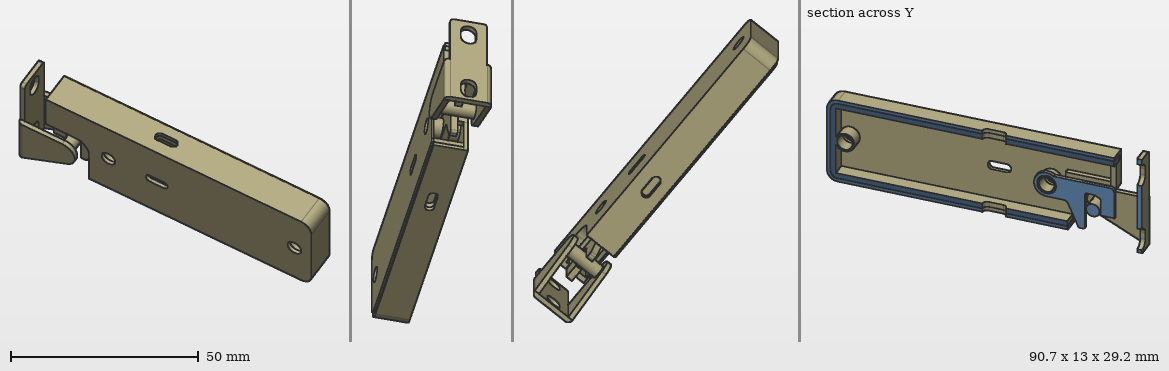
import cadquery as cq
import math


sheet = 1.45
bracket_width = 13.0
bracket_height = 29.2
bracket_inner_width = bracket_width - 2 * sheet
plate_corner_radius = 1.0
arm_reach = 17.9
arm_top = 14.2
arm_end_radius = 4.0
arm_end_x = arm_reach - arm_end_radius
arm_end_z = arm_top - arm_end_radius
mount_slot_width = 4.3
mount_slot_height = 6.35
mount_slot_heights = (4.3, 24.2)
pin_radius = 2.0

latch_length = 90.7
housing_left = 8.0
housing_width = 10.0
housing_height = 25.4
housing_bottom = 2.5
wall = 1.2
housing_corner_radius = 3.3
housing_front = -housing_width / 2
housing_back = housing_width / 2
housing_top = housing_bottom + housing_height
mid_height = housing_bottom + housing_height / 2
hook_opening_width = 2.4
half_opening = hook_opening_width / 2

notch_right = 21.4
notch_top = 17.3
notch_radius = 4.3

cover_thickness = 0.5
rim = 1.5
rim_setback = 0.1
cover_front = housing_back - cover_thickness
cavity_front = housing_front + wall
cavity_top = housing_top - wall
cavity_bottom = housing_bottom + wall
cavity_right = latch_length - wall
cavity_corner_radius = housing_corner_radius - wall
sleeve_radius = 2.8
mount_hole_diameter = 4.3
pivot_x = 27.5
mount_hole_places = (pivot_x, 85.4)
oblong_x = 42.5
oblong_length = 6.7
oblong_width = 2.5

hook_thickness = 1.9
hook_top = 18.3
nose_bottom = 9.1
nose_radius = 1.4
mouth_left = 12.0
mouth_right = 16.4
mouth_top = 15.1
mouth_arc_radius = 4.0
mouth_arc_x = 14.7
mouth_corner_radius = 0.6
finger_bottom = 3.8
finger_tip_right = 18.3
finger_tip_radius = 0.6
finger_slope = 0.44
lever_bottom = 11.5
lever_fillet = 1.4
hub_radius = 3.7
pin_x = (mouth_left + mouth_right) / 2


def block(x_range, y_range, z_range):
    """Box given by its lower and upper limits along each axis."""
    corner = (x_range[0], y_range[0], z_range[0])
    size = [high - low for low, high in (x_range, y_range, z_range)]
    return cq.Workplane("XY").box(*size, centered=False).translate(corner)


def side_sketch(y):
    """Work plane at a given Y with local axes X and Z; extrusions run toward -Y."""
    return cq.Workplane("XZ", origin=(0, y, 0))


def rod(x, z, radius, y_range):
    """Cylinder along Y."""
    return side_sketch(y_range[1]).center(x, z).circle(radius).extrude(y_range[1] - y_range[0])


def entry_notch():
    """Cutter for the corner where the bracket enters, through the full width."""
    notch = block((0, notch_right), (-housing_width, housing_width), (0, notch_top))
    return notch.edges("|Y and >X and >Z").fillet(notch_radius)


def mounting_cuts():
    """Cutter for the round holes and the two crossing oblong openings."""
    y_range = (-housing_width, housing_width)
    cuts = side_sketch(housing_width).center(oblong_x, mid_height)
    cuts = cuts.slot2D(oblong_length, oblong_width).extrude(2 * housing_width)
    upright = cq.Workplane("XY").center(oblong_x, 0).slot2D(oblong_length, oblong_width)
    cuts = cuts.union(upright.extrude(bracket_height))
    for x in mount_hole_places:
        cuts = cuts.union(rod(x, mid_height, mount_hole_diameter / 2, y_range))
    return cuts


def cavity_block(y_range):
    """Block filling the rounded outline inside the housing walls."""
    shape = block((housing_left, cavity_right), y_range, (cavity_bottom, cavity_top))
    return shape.edges("|Y and >X").fillet(cavity_corner_radius)


def end_wall(y_range):
    """Piece of the wall closing the left end between the notch and the cover rim."""
    return block((housing_left, housing_left + rim), y_range, (notch_top, cavity_top - rim))


def notch_lip():
    """Lip inside the front wall along the notch roof, down to the end of its rounded corner."""
    return block(
        (housing_left, notch_right + rim),
        (cavity_front, cavity_front + rim),
        (notch_top - notch_radius, notch_top + rim),
    )


def rim_setback_cut():
    """Cutter that sets both rim ends slightly back from the housing edges."""
    y_range = (cavity_front, cover_front)
    upper = block(
        (housing_left, housing_left + rim_setback), y_range, (cavity_top - rim, cavity_top)
    )
    lower = block(
        (notch_right, notch_right + rim_setback), y_range, (cavity_bottom, cavity_bottom + rim)
    )
    return upper.union(lower)


def make_bracket():
    """Plate with two side arms and the catch pin between them."""
    half = bracket_width / 2
    bracket = block((0, arm_reach), (-half, half), (0, arm_top))
    bracket = bracket.edges("|Z and <X").fillet(sheet)

    run = arm_end_x - sheet
    slope = math.atan2(arm_end_z, run) - math.asin(arm_end_radius / math.hypot(run, arm_end_z))
    tangent_x = arm_end_x + arm_end_radius * math.sin(slope)
    tangent_z = arm_end_z - arm_end_radius * math.cos(slope)
    outline = (
        side_sketch(half)
        .lineTo(sheet, 0)
        .lineTo(tangent_x, tangent_z)
        .threePointArc((arm_reach, arm_end_z), (arm_end_x, arm_top))
        .lineTo(0, arm_top)
        .close()
        .extrude(bracket_width)
    )
    bracket = bracket.intersect(outline)
    half_inner = bracket_inner_width / 2
    bracket = bracket.cut(block((sheet, arm_reach), (-half_inner, half_inner), (0, arm_top)))

    plate = block((0, sheet), (-half_inner, half_inner), (0, bracket_height))
    bracket = bracket.union(plate.edges("|X and >Z").fillet(plate_corner_radius))
    slots = (
        cq.Workplane("YZ")
        .pushPoints([(0, z) for z in mount_slot_heights])
        .slot2D(mount_slot_height, mount_slot_width, 90)
        .extrude(sheet)
    )
    bracket = bracket.cut(slots)
    return bracket.union(rod(pin_x, arm_end_z, pin_radius, (-half_inner, half_inner)))


def make_housing():
    """Tray open at the back, with its half of the end wall and the lip over the notch."""
    housing = block(
        (housing_left, latch_length), (housing_front, cover_front), (housing_bottom, housing_top)
    )
    housing = housing.edges("|Y and >X").fillet(housing_corner_radius)
    housing = housing.cut(cavity_block((cavity_front, cover_front)))
    housing = housing.union(end_wall((housing_front, -half_opening)))
    housing = housing.union(notch_lip())
    return housing.cut(entry_notch()).cut(mounting_cuts())


def make_cover():
    """Back plate with a rim inside the housing walls, its half of the end wall and hole sleeves."""
    cover = cavity_block((cavity_front, housing_back))
    hollow = block(
        (housing_left, cavity_right - rim),
        (cavity_front, cover_front),
        (cavity_bottom + rim, cavity_top - rim),
    )
    cover = cover.cut(hollow)
    cover = cover.union(end_wall((half_opening, housing_back)))
    for x in mount_hole_places:
        cover = cover.union(rod(x, mid_height, sleeve_radius, (cavity_front, cover_front)))
    return cover.cut(entry_notch()).cut(rim_setback_cut()).cut(mounting_cuts())


def make_hook():
    """Flat lever that turns on the left sleeve and holds the catch pin in its mouth."""
    half = hook_thickness / 2
    mouth_rise = math.sqrt(mouth_arc_radius**2 - (mouth_arc_x - mouth_left) ** 2)
    mouth_left_top = mouth_top - mouth_arc_radius + mouth_rise
    slope_top_x = finger_tip_right + finger_slope * (lever_bottom - finger_bottom)
    hook = (
        side_sketch(half)
        .moveTo(housing_left, nose_bottom)
        .lineTo(housing_left, hook_top)
        .lineTo(pivot_x, hook_top)
        .lineTo(pivot_x, lever_bottom)
        .lineTo(slope_top_x, lever_bottom)
        .lineTo(finger_tip_right, finger_bottom)
        .lineTo(mouth_right, finger_bottom)
        .lineTo(mouth_right, mouth_top)
        .lineTo(mouth_arc_x, mouth_top)
        .radiusArc((mouth_left, mouth_left_top), -mouth_arc_radius)
        .lineTo(mouth_left, nose_bottom)
        .close()
        .extrude(hook_thickness)
    )

    def corner(x, z):
        reach = 0.1
        return cq.selectors.BoxSelector((x - reach, -half, z - reach), (x + reach, half, z + reach))

    hook = hook.edges(corner(housing_left, hook_top)).fillet(nose_radius)
    hook = hook.edges(corner(slope_top_x, lever_bottom)).fillet(lever_fillet)
    hook = hook.edges(corner(mouth_right, mouth_top)).fillet(mouth_corner_radius)
    for x in (mouth_right, finger_tip_right):
        hook = hook.edges(corner(x, finger_bottom)).fillet(finger_tip_radius)
    hook = hook.union(rod(pivot_x, mid_height, hub_radius, (-half, half)))
    return hook.cut(rod(pivot_x, mid_height, sleeve_radius, (-half, half)))


bracket = make_bracket().solids()
housing = make_housing().solids()
cover = make_cover().solids()
hook = make_hook().solids()

result = cq.Compound.makeCompound([bracket.val(), housing.val(), cover.val(), hook.val()])